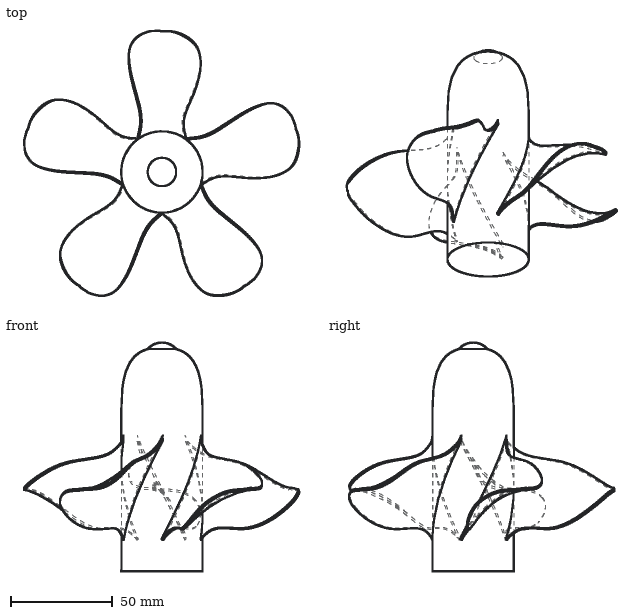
import cadquery as cq
import math

HUB_RADIUS = 20.0
HUB_LENGTH = 80.0
NOSE_TOP_Z = 109.1
CAP_RADIUS = 7.0
TOTAL_HEIGHT = 112.32
NOSE_LOWER_CONTROL = (HUB_RADIUS, 96.0)
NOSE_UPPER_CONTROL = (17.0, 106.5)

BLADE_COUNT = 5
FIRST_BLADE_ANGLE = 90.0
BLADE_THICKNESS = 1.0
TRIM_MARGIN = 1.0
POINTS_PER_ARC = 9
SHEET_TOLERANCE = 0.02

STATIONS = [
    (19.0, -40.0, 39.5, 40.0, 0.715),
    (22.0, -29.3, 30.8, 39.5, 0.715),
    (25.0, -24.2, 24.8, 39.3, 0.775),
    (30.0, -21.4, 20.5, 39.2, 0.835),
    (40.0, -21.6, 18.5, 39.1, 0.840),
    (50.0, -21.1, 17.7, 39.1, 0.735),
    (57.3, -19.4, 16.4, 39.1, 0.570),
    (63.8, -15.8, 13.8, 39.2, 0.350),
    (67.7, -10.0, 9.4, 39.7, 0.150),
]
TIP_RADIUS = 69.1
SHEET_END = (69.4, -7.5, 6.5, 40.1, 0.080)


def polar_point(radius, angle, height):
    """Point at a radius and an angle in degrees about the hub axis."""
    turn = math.radians(angle)
    return cq.Vector(radius * math.cos(turn), radius * math.sin(turn), height)


def make_hub():
    return (
        cq.Workplane("XZ")
        .lineTo(HUB_RADIUS, 0)
        .lineTo(HUB_RADIUS, HUB_LENGTH)
        .bezier(
            [NOSE_LOWER_CONTROL, NOSE_UPPER_CONTROL, (CAP_RADIUS, NOSE_TOP_Z)],
            includeCurrent=True,
        )
        .threePointArc(cap_middle(), (0, TOTAL_HEIGHT))
        .close()
        .revolve(360, (0, 0), (0, 1))
        .val()
    )


def cap_middle():
    """Point halfway along the cap's arc, in radius and height."""
    cap_height = TOTAL_HEIGHT - NOSE_TOP_Z
    sphere_radius = (CAP_RADIUS**2 + cap_height**2) / (2 * cap_height)
    half_arc = math.asin(CAP_RADIUS / sphere_radius) / 2
    centre_z = TOTAL_HEIGHT - sphere_radius
    return sphere_radius * math.sin(half_arc), centre_z + sphere_radius * math.cos(half_arc)


def lower_face_shift(radius, twist):
    """Turn in degrees and drop in mm from the blade's mid surface to its lower face."""
    climb = math.atan2(math.degrees(twist), radius)
    half_thickness = BLADE_THICKNESS / 2
    turn = math.degrees(half_thickness * math.sin(climb) / radius)
    return turn, half_thickness * math.cos(climb)


def sheet_arc(radius, low_angle, high_angle, mid_height, twist):
    """Points along one arc of the lower face, running a little past both edges."""
    turn, drop = lower_face_shift(radius, twist)
    start = low_angle - TRIM_MARGIN
    step = (high_angle + TRIM_MARGIN - start) / (POINTS_PER_ARC - 1)
    angles = [start + i * step for i in range(POINTS_PER_ARC)]
    return [polar_point(radius, angle + turn, mid_height + twist * angle - drop) for angle in angles]


def make_planform():
    """Upright prism with the outline of the blade's lower face as seen along the hub axis."""
    low_edge = []
    high_edge = []
    for radius, low_angle, high_angle, _, twist in STATIONS:
        turn, _ = lower_face_shift(radius, twist)
        low_edge.append(polar_point(radius, low_angle + turn, 0))
        high_edge.append(polar_point(radius, high_angle + turn, 0))
    tip = polar_point(TIP_RADIUS, 0, 0)
    low_rim = cq.Edge.makeSpline([*low_edge, tip])
    high_rim = cq.Edge.makeSpline([tip, *reversed(high_edge)])
    root = cq.Edge.makeLine(high_edge[0], low_edge[0])
    outline = cq.Wire.assembleEdges([low_rim, high_rim, root])
    return cq.Solid.extrudeLinear(outline, [], cq.Vector(0, 0, HUB_LENGTH))


def make_blade():
    """One blade centred on the +X axis: a sheet trimmed to its outline, then thickened."""
    arcs = [sheet_arc(*station) for station in [*STATIONS, SHEET_END]]
    sheet = cq.Face.makeSplineApprox(arcs, tol=SHEET_TOLERANCE, minDeg=3, maxDeg=5)
    trimmed = sheet.intersect(make_planform()).Faces()[0]
    return trimmed.thicken(BLADE_THICKNESS)


def make_propeller():
    blade = make_blade()
    pitch_angle = 360 / BLADE_COUNT
    axis_start = cq.Vector(0, 0, 0)
    axis_end = cq.Vector(0, 0, 1)
    propeller = make_hub()
    for i in range(BLADE_COUNT):
        turned = blade.rotate(axis_start, axis_end, FIRST_BLADE_ANGLE + i * pitch_angle)
        propeller = propeller.fuse(turned)
    return propeller


result = cq.Workplane(obj=make_propeller())